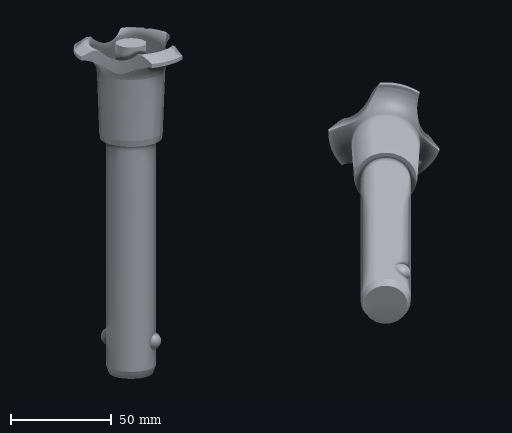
import cadquery as cq

total_height = 172.7
shank_diameter = 25.0
shank_radius = shank_diameter / 2
tip_chamfer_height = 4.1
tip_chamfer_width = 1.5

ball_radius = 4.5
ball_height = 17.6
ball_reach = 15.5

body_bottom = 122.6
body_bottom_radius = 15.4
body_edge_height = 3.3
body_lower_radius = 15.9
body_top = 158.2
body_upper_radius = 17.1
flare_middle = (19.5, 163.4)
flare_end_radius = 26.8
rim_radius = 28.5
rim_bottom = 167.3
rim_edge_height = 2.0

lip_outer_radius = 23.5
lip_inner_radius = 21.6
dish_middle = (17.8, 168.0)
dish_floor = 162.3
dish_floor_radius = 8.8

button_radius = 7.6
button_top = 172.0

front_scallop_depth_y = -18.1
front_scallop_corner = (18.7, -21.6)
side_scallop_upper = (11.2, 26.3)
side_scallop_middle = (15.9, 8.0)
side_scallop_lower = (28.3, -3.6)
scallop_clearance = 51.8

lanyard_hole_diameter = 2.8
lanyard_hole_y = 23.1


def make_shank():
    """Tapered-tip shaft running up inside the handle."""
    return (
        cq.Workplane("XZ")
        .moveTo(0, 0)
        .lineTo(shank_radius - tip_chamfer_width, 0)
        .lineTo(shank_radius, tip_chamfer_height)
        .lineTo(shank_radius, body_top)
        .lineTo(0, body_top)
        .close()
        .revolve(360, (0, 0), (0, 1))
    )


def make_handle():
    """Revolved handle with its flared rim and dished top."""
    return (
        cq.Workplane("XZ")
        .moveTo(0, body_bottom)
        .lineTo(body_bottom_radius, body_bottom)
        .lineTo(body_lower_radius, body_bottom + body_edge_height)
        .lineTo(body_upper_radius, body_top)
        .threePointArc(flare_middle, (flare_end_radius, rim_bottom))
        .lineTo(rim_radius, rim_bottom)
        .lineTo(rim_radius, rim_bottom + rim_edge_height)
        .lineTo(lip_outer_radius, total_height)
        .lineTo(lip_inner_radius, total_height)
        .threePointArc(dish_middle, (dish_floor_radius, dish_floor))
        .lineTo(0, dish_floor)
        .close()
        .revolve(360, (0, 0), (0, 1))
    )


def make_front_scallop():
    """Cutter for the shallow scallop on the -Y side."""
    corner_x, corner_y = front_scallop_corner
    return (
        cq.Workplane("XY", origin=(0, 0, body_bottom))
        .moveTo(-corner_x, corner_y)
        .threePointArc((0, front_scallop_depth_y), (corner_x, corner_y))
        .lineTo(scallop_clearance, -scallop_clearance)
        .lineTo(-scallop_clearance, -scallop_clearance)
        .close()
        .extrude(total_height - body_bottom)
    )


def make_side_scallop():
    """Cutter for the scallop on the +X side."""
    return (
        cq.Workplane("XY", origin=(0, 0, body_bottom))
        .moveTo(*side_scallop_upper)
        .threePointArc(side_scallop_middle, side_scallop_lower)
        .lineTo(scallop_clearance, side_scallop_lower[1])
        .lineTo(scallop_clearance, scallop_clearance)
        .lineTo(side_scallop_upper[0], scallop_clearance)
        .close()
        .extrude(total_height - body_bottom)
    )


def make_lanyard_hole():
    """Vertical drill for the rear lobe."""
    return (
        cq.Workplane("XY", origin=(0, lanyard_hole_y, body_top))
        .circle(lanyard_hole_diameter / 2)
        .extrude(total_height - body_top)
    )


def make_button():
    return (
        cq.Workplane("XY", origin=(0, 0, body_top))
        .circle(button_radius)
        .extrude(button_top - body_top)
    )


def make_ball(side):
    ball_x = side * (ball_reach - ball_radius)
    return cq.Workplane("XY", origin=(ball_x, 0, ball_height)).sphere(ball_radius)


side_scallop = make_side_scallop()
handle = (
    make_handle()
    .cut(make_front_scallop())
    .cut(side_scallop)
    .cut(side_scallop.mirror("YZ"))
    .cut(make_lanyard_hole())
)

result = make_shank().union(handle).union(make_button())
for side in (-1, 1):
    result = result.union(make_ball(side))